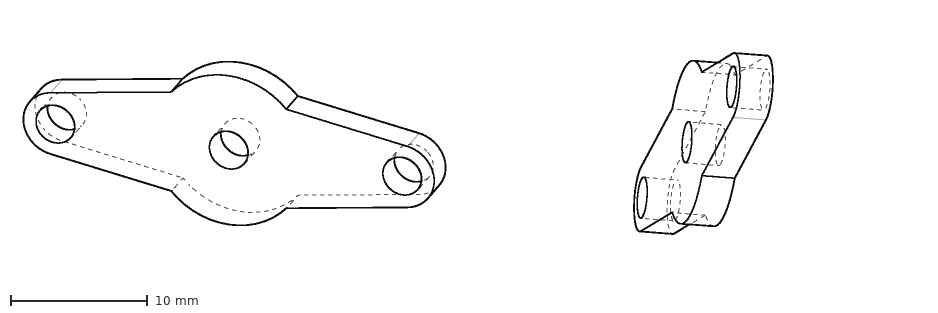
import cadquery as cq
import math

length = 31.98
thickness = 2.5
hub_diameter = 12.0
end_radius = 2.5
hole_diameter = 3.0
shoulder_x = 4.48

hub_radius = hub_diameter / 2
end_x = length / 2 - end_radius
shoulder_z = math.sqrt(hub_radius**2 - shoulder_x**2)

shoulder_dx = shoulder_x - end_x
shoulder_distance = math.hypot(shoulder_dx, shoulder_z)
shoulder_angle = math.atan2(shoulder_z, shoulder_dx)
tangent_angle = shoulder_angle - math.acos(end_radius / shoulder_distance)
tangent_x = end_x + end_radius * math.cos(tangent_angle)
tangent_z = end_radius * math.sin(tangent_angle)


def make_plate():
    """Flat lever with a round hub and two tapering, rounded arms."""
    return (
        cq.Workplane("XZ", origin=(0, thickness / 2, 0))
        .moveTo(-shoulder_x, shoulder_z)
        .threePointArc((0, hub_radius), (shoulder_x, shoulder_z))
        .lineTo(tangent_x, tangent_z)
        .threePointArc((length / 2, 0), (tangent_x, -tangent_z))
        .lineTo(shoulder_x, -shoulder_z)
        .threePointArc((0, -hub_radius), (-shoulder_x, -shoulder_z))
        .lineTo(-tangent_x, -tangent_z)
        .threePointArc((-length / 2, 0), (-tangent_x, tangent_z))
        .close()
        .extrude(thickness)
    )


def make_holes():
    """Through holes at the hub and at both arm ends."""
    return (
        cq.Workplane("XZ", origin=(0, thickness / 2, 0))
        .pushPoints([(-end_x, 0), (0, 0), (end_x, 0)])
        .circle(hole_diameter / 2)
        .extrude(thickness)
    )


result = make_plate().cut(make_holes())